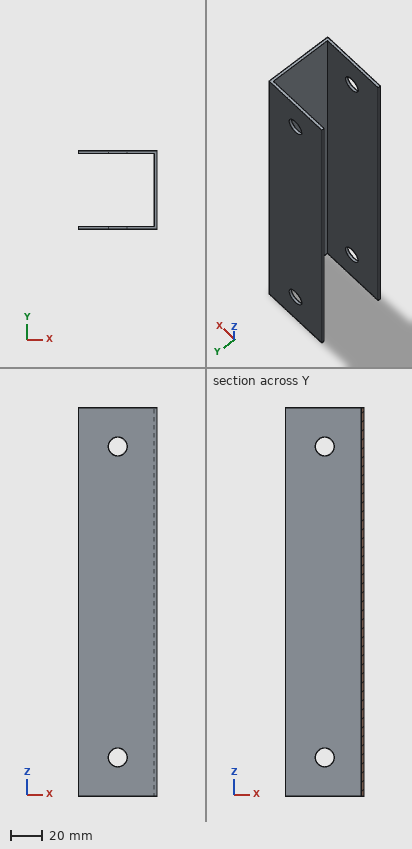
import cadquery as cq

length = 250.0
width = 50.8
depth = 50.8
wall = 2.0

hole_diameter = 12.0
hole_end_distance = 25.0
hole_spacing = length - 2 * hole_end_distance


def channel():
    """Upright U-channel with its web on +X and its open side on -X."""
    outer = cq.Workplane("XY").box(width, depth, length)
    cavity = (
        cq.Workplane("XY")
        .box(width, depth - 2 * wall, length)
        .translate((-wall, 0, 0))
    )
    return outer.cut(cavity)


def bolt_holes():
    """Two cylinders along Y, long enough to pierce both flanges."""
    return (
        cq.Workplane("XZ")
        .rarray(width, hole_spacing, 1, 2)
        .circle(hole_diameter / 2)
        .extrude(depth, both=True)
    )


result = channel().cut(bolt_holes())